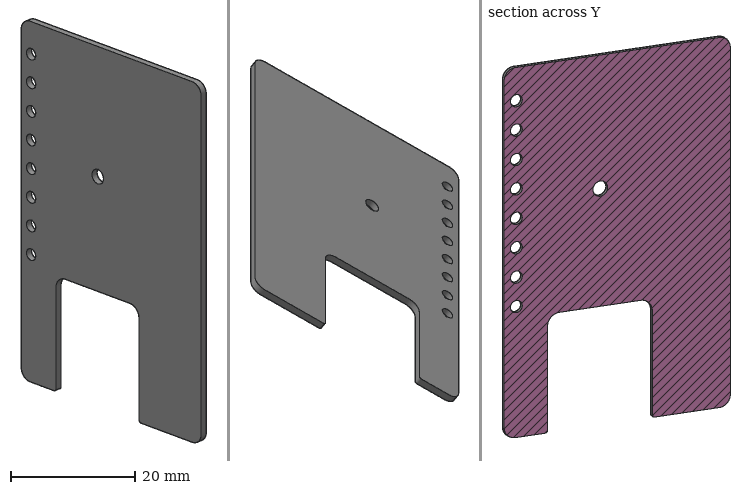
import cadquery as cq

width = 40.0
thickness = 1.2
height = 63.0
corner_radius = 2.0

notch_left = 7.75
notch_width = 18.4
notch_height = 20.2
notch_corner_radius = 2.0
notch_mouth_radius = 0.5

pin_diameter = 2.0
pin_count = 8
pin_pitch = 5.0
pin_x = 2.2
lowest_pin_z = 22.3

mount_diameter = 2.5
mount_x = 17.0
mount_z = 40.25


def block(left, size_x, size_z):
    """Full-thickness block standing on the bottom edge, starting at X = left."""
    return cq.Workplane("XY").box(size_x, thickness, size_z, centered=False).translate((left, 0, 0))


def hole(x, z, diameter):
    """Cylinder through the plate along Y."""
    return cq.Workplane("XZ").center(x, z).circle(diameter / 2).extrude(-thickness)


def make_plate():
    """Rectangular plate with rounded outer corners."""
    return block(0, width, height).edges("|Y").fillet(corner_radius)


def cut_notch(plate):
    """Cut the bottom notch, rounding its inner corners and its mouth."""
    notch = block(notch_left, notch_width, notch_height)
    notch = notch.edges("|Y and >Z").fillet(notch_corner_radius)
    notch_right = notch_left + notch_width
    mouth_corners = cq.selectors.BoxSelector(
        (notch_left - notch_mouth_radius, -thickness, -notch_mouth_radius),
        (notch_right + notch_mouth_radius, 2 * thickness, notch_mouth_radius),
    )
    return plate.cut(notch).edges("|Y").edges(mouth_corners).fillet(notch_mouth_radius)


def cut_pin_holes(plate):
    """Cut the evenly spaced column of small holes."""
    for index in range(pin_count):
        plate = plate.cut(hole(pin_x, lowest_pin_z + index * pin_pitch, pin_diameter))
    return plate


def cut_mount_hole(plate):
    """Cut the single mounting hole."""
    return plate.cut(hole(mount_x, mount_z, mount_diameter))


result = cut_mount_hole(cut_pin_holes(cut_notch(make_plate())))